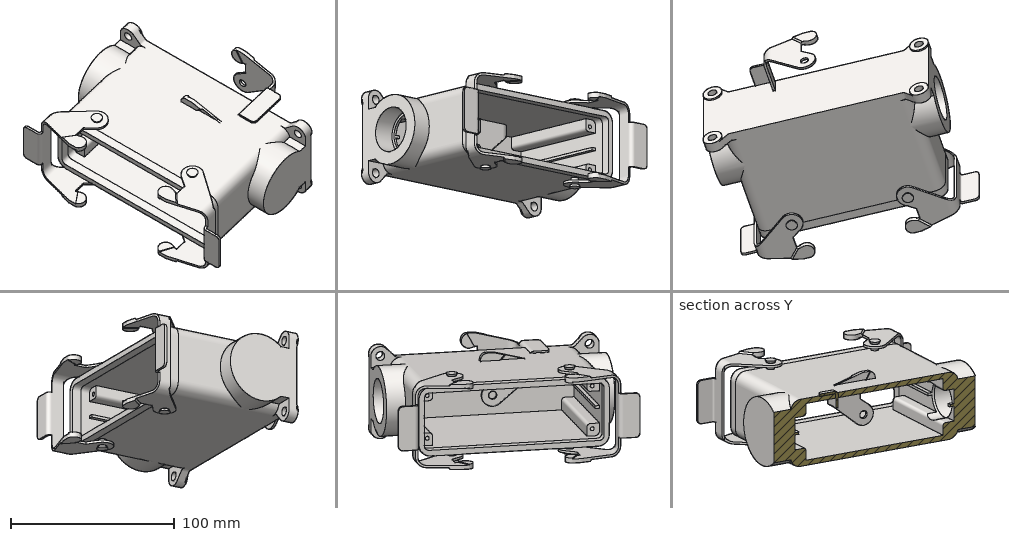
import cadquery as cq
import math


DIAGONAL = math.sqrt(0.5)

shell_half_x = 59.7
shell_half_z = 21.7
shell_depth = 83.0
side_wall = 3.3
top_wall = 3.6
back_wall = 3.6
outer_corner_radius = 7.1
inner_corner_radius = 3.0
collar_depth = 5.8

post_size = 7.9
post_corner_radius = 2.1
post_front_y = 12.0
post_hole_diameter = 2.5
post_hole_depth = 9.1
post_hole_offset = 4.5
rib_height = 1.7
rib_reach = 2.7

boss_face_x = 71.7
boss_diameter = 2 * shell_half_z
boss_y = 57.3
boss_web_half_z = 16.2
entry_diameter = 27.6
entry_depth = 13.6
passage_diameter = 24.0

overall_height = 58.0
lug_diameter = 12.0
lug_hole_diameter = 5.5
lug_front_y = 77.5
lug_foot_radius = 2.5
lug_pad = 1.0

overall_length = 151.6
sheet = 1.5
lever_half_width = 25.8
pivot_hole_diameter = 5.0
eye_radius = 7.0
bar_u = 27.5
bar_top_v = 12.1
bar_bottom_v = 19.9
bar_shoulder = 1.7
bend_radius = 6.4
notch_u = 2.3
notch_top_v = 10.5
notch_bottom_v = 18.5
notch_floor = 1.7
nose_radius = 4.7
nose_u = -3.3
nose_v = 22.3
nose_start_v = 15.9
nose_flat_start_u = -4.5
nose_flat_end_u = 0.8
outer_pad = 1.0
outer_pad_angle = 49.0
inner_pad = 0.6
inner_pad_u = 0.3
inner_pad_angle = 120.0
pad_bevel = 0.9
grip_half_width = 14.0
grip_v = 23.2
grip_bend_radius = 2.6
grip_corner_radius = 2.7

pivot_x = 37.0
pivot_y = 9.5
loose_pivot_y = 82.6
loose_pivot_z = -0.5

pin_diameter = 4.9
pin_head_diameter = 7.0
pin_neck_diameter = 5.5
pin_top_z = 27.5

cavity_half_x = shell_half_x - side_wall
cavity_half_z = shell_half_z - top_wall
cavity_back_y = shell_depth - back_wall
lug_radius = lug_diameter / 2
lug_x = boss_face_x - lug_radius
lug_z = overall_height / 2 - lug_radius
grip_tip_u = overall_length / 2 - pivot_x


def box(x0, x1, y0, y1, z0, z1):
    """Box between two opposite corners."""
    return cq.Workplane("XY").box(x1 - x0, y1 - y0, z1 - z0, centered=False).translate((x0, y0, z0))


def along_y(y0):
    """Workplane at Y = y0 whose local axes are X and Z; extrude a negative length to go toward +Y."""
    return cq.Workplane("XZ", origin=(0, y0, 0))


def rounded_block(half_x, half_z, radius, y0, y1):
    """Block running along Y with rounded long edges."""
    block = box(-half_x, half_x, y0, y1, -half_z, half_z)
    return block.edges("|Y").fillet(radius)


def tangent_point(point, centre, radius, side):
    """Point where a line from an outside point touches a circle; side is +1 or -1."""
    du = point[0] - centre[0]
    dv = point[1] - centre[1]
    angle = math.atan2(dv, du) + side * math.acos(radius / math.hypot(du, dv))
    return (centre[0] + radius * math.cos(angle), centre[1] + radius * math.sin(angle))


def shell_and_bosses():
    body = rounded_block(shell_half_x, shell_half_z, outer_corner_radius, collar_depth, shell_depth)
    for side in (-1, 1):
        boss = (
            cq.Workplane("YZ", origin=(side * boss_face_x, boss_y, 0))
            .circle(boss_diameter / 2)
            .extrude(-side * (boss_face_x - shell_half_x + outer_corner_radius))
        )
        x0, x1 = sorted((side * boss_face_x, side * cavity_half_x))
        web = box(x0, x1, boss_y, shell_depth, -boss_web_half_z, boss_web_half_z)
        body = body.union(boss).union(web)
    return body


def lug(side_x, side_z):
    """Mounting ear: round pad, straight outer edge, 45 degree inner edge with a filleted foot."""
    diagonal = lug_radius * DIAGONAL
    foot_x = lug_x - diagonal - (lug_z + diagonal - shell_half_z)
    foot_setback = lug_foot_radius * math.tan(math.radians(45 / 2))
    foot_slope_end = (foot_x + foot_setback * DIAGONAL, shell_half_z + foot_setback * DIAGONAL)
    ear = (
        along_y(lug_front_y)
        .moveTo(boss_face_x, boss_web_half_z)
        .lineTo(boss_face_x, lug_z)
        .threePointArc((lug_x, lug_z + lug_radius), (lug_x - diagonal, lug_z + diagonal))
        .lineTo(*foot_slope_end)
        .radiusArc((foot_x - foot_setback, shell_half_z), lug_foot_radius)
        .lineTo(shell_half_x - outer_corner_radius, shell_half_z)
        .lineTo(shell_half_x - outer_corner_radius, boss_web_half_z)
        .close()
        .extrude(-(shell_depth - lug_front_y))
    )
    pad = (
        along_y(lug_front_y)
        .center(lug_x, lug_z)
        .circle(lug_radius)
        .extrude(-(shell_depth + lug_pad - lug_front_y))
    )
    hole = (
        along_y(0)
        .center(lug_x, lug_z)
        .circle(lug_hole_diameter / 2)
        .extrude(-2 * shell_depth)
    )
    ear = ear.union(pad).cut(hole)
    if side_x < 0:
        ear = ear.mirror("YZ")
    if side_z < 0:
        ear = ear.mirror("XY")
    return ear


def cavity(y0, y1):
    return rounded_block(cavity_half_x, cavity_half_z, inner_corner_radius, y0, y1)


def corner_post():
    """Screw post in the +X +Z corner of the cavity, with a blind hole in its front end."""
    post = box(
        cavity_half_x - post_size, cavity_half_x, post_front_y, cavity_back_y,
        cavity_half_z - post_size, cavity_half_z,
    )
    post = post.edges("|Y and <X and <Z").fillet(post_corner_radius)
    hole = (
        along_y(post_front_y)
        .center(cavity_half_x - post_hole_offset, cavity_half_z - post_hole_offset)
        .circle(post_hole_diameter / 2)
        .extrude(-post_hole_depth)
    )
    return post.cut(hole).intersect(cavity(0, cavity_back_y))


def cavity_details():
    """Four corner posts and one flat rib on each end wall."""
    post = corner_post()
    rib = box(
        cavity_half_x - rib_reach, cavity_half_x, post_front_y, cavity_back_y,
        -rib_height / 2, rib_height / 2,
    )
    right_half = post.union(post.mirror("XY")).union(rib)
    return right_half, right_half.mirror("YZ")


def cable_entry():
    """Stepped bore through the -X boss and end wall."""
    start = cq.Workplane("YZ", origin=(-boss_face_x, boss_y, 0))
    bore = start.circle(entry_diameter / 2).extrude(entry_depth)
    passage = start.circle(passage_diameter / 2).extrude(boss_face_x - cavity_half_x + post_size)
    return bore.union(passage)


def pivot_pin():
    """Pin at the +X, +Z pivot; its head sits on the lever and widens toward the top."""
    start = cq.Workplane("XY", origin=(pivot_x, pivot_y, cavity_half_z))
    shank = start.circle(pin_diameter / 2).extrude(lever_half_width - cavity_half_z)
    head = (
        start.workplane(offset=lever_half_width - cavity_half_z)
        .circle(pin_neck_diameter / 2)
        .workplane(offset=pin_top_z - lever_half_width)
        .circle(pin_head_diameter / 2)
        .loft()
    )
    return shank.union(head)


def make_housing(loose_lever):
    body = shell_and_bosses()
    for side_x in (-1, 1):
        for side_z in (-1, 1):
            body = body.union(lug(side_x, side_z))
    body = body.cut(cavity(0, cavity_back_y))
    for details in cavity_details():
        body = body.union(details)
    body = body.cut(cable_entry())
    pin = pivot_pin()
    pins = pin.union(pin.mirror("YZ"))
    body = body.union(pins).union(pins.mirror("XY"))
    return body.cut(loose_lever)


def make_collar():
    """Open frame closing the front of the shell."""
    frame = rounded_block(shell_half_x, shell_half_z, outer_corner_radius, 0, collar_depth)
    return frame.cut(cavity(0, collar_depth))


def cheek_outline():
    """Side outline of both cheeks, from the bar round the hook nose and the pivot eye."""
    eye = (0, 0)
    nose = (nose_u, nose_v)
    shoulder = (bar_u - bar_shoulder, bar_top_v)
    eye_outer = tangent_point(shoulder, eye, eye_radius, -1)
    eye_inner = tangent_point((notch_u, notch_top_v), eye, eye_radius, 1)
    notch_end = (notch_u - notch_floor, notch_bottom_v)
    nose_inner = tangent_point(notch_end, nose, nose_radius, -1)
    eye_far = (-eye_radius * DIAGONAL, -eye_radius * DIAGONAL)
    return (
        cq.Workplane("XY")
        .moveTo(bar_u, bar_top_v)
        .lineTo(bar_u, bar_bottom_v)
        .lineTo(nose_flat_end_u, nose_v + nose_radius)
        .lineTo(nose_flat_start_u, nose_v + nose_radius)
        .threePointArc((nose_u - nose_radius, nose_v), nose_inner)
        .lineTo(*notch_end)
        .lineTo(notch_u, notch_bottom_v)
        .lineTo(notch_u, notch_top_v)
        .lineTo(*eye_inner)
        .threePointArc(eye_far, eye_outer)
        .lineTo(*shoulder)
        .close()
    )


def bent_strip():
    """Sheet bent into a U: two cheeks joined by the bar, cut to the cheek outline."""
    far = 2 * bar_u
    outer = box(-far, bar_u, -far, far, -lever_half_width, lever_half_width)
    outer = outer.edges("|Y and >X").fillet(bend_radius)
    inner = box(
        -far, bar_u - sheet, -far, far, -lever_half_width + sheet, lever_half_width - sheet,
    )
    inner = inner.edges("|Y and >X").fillet(bend_radius - sheet)
    blank = cheek_outline().extrude(2 * lever_half_width).translate((0, 0, -lever_half_width))
    hole = cq.Workplane("XY").circle(pivot_hole_diameter / 2).extrude(4 * lever_half_width, both=True)
    return outer.cut(inner).intersect(blank).cut(hole)


def nose_blank(thickness):
    """Hook end of the cheek outline, clear of the pivot eye."""
    far = 2 * bar_u
    hook_end = box(-far, far, nose_start_v, far, 0, thickness)
    return cheek_outline().extrude(thickness).intersect(hook_end)


def outer_nose_pad():
    """Thicker outside of the hook nose, ending in a bevel across the notch corner."""
    far = 2 * bar_u
    slab = (
        cq.Workplane("XZ")
        .polyline([(-far, 0), (0, 0), (-pad_bevel, outer_pad), (-far, outer_pad)])
        .close()
        .extrude(far, both=True)
        .rotate((0, 0, 0), (0, 0, 1), outer_pad_angle - 90)
        .translate((notch_u, notch_bottom_v, 0))
    )
    return nose_blank(outer_pad).intersect(slab)


def inner_nose_pad():
    """Thicker inside of the hook nose: the part of its round end beyond a slanted line."""
    far = 2 * bar_u
    slab = (
        box(-far, 0, -far, far, 0, inner_pad)
        .rotate((0, 0, 0), (0, 0, 1), inner_pad_angle - 90)
        .translate((inner_pad_u, notch_bottom_v, 0))
    )
    return nose_blank(inner_pad).intersect(slab)


def grip():
    """Finger tab bent outward from the bar, with rounded free corners."""
    inside_u = bar_u - sheet
    profile = (
        cq.Workplane("XY", origin=(0, 0, -grip_half_width))
        .moveTo(inside_u, bar_bottom_v - sheet)
        .lineTo(bar_u, bar_bottom_v - sheet)
        .lineTo(bar_u, grip_v - grip_bend_radius)
        .radiusArc((inside_u + grip_bend_radius, grip_v - sheet), grip_bend_radius - sheet)
        .lineTo(grip_tip_u, grip_v - sheet)
        .lineTo(grip_tip_u, grip_v)
        .lineTo(inside_u + grip_bend_radius, grip_v)
        .radiusArc((inside_u, grip_v - grip_bend_radius), -grip_bend_radius)
        .close()
    )
    tab = profile.extrude(2 * grip_half_width)
    return tab.edges("|Y and >X").fillet(grip_corner_radius)


def make_lever():
    upper_pads = outer_nose_pad().translate((0, 0, lever_half_width))
    upper_pads = upper_pads.union(inner_nose_pad().translate((0, 0, lever_half_width - sheet - inner_pad)))
    lever = bent_strip().union(grip())
    return lever.union(upper_pads).union(upper_pads.mirror("XY"))


lever = make_lever()
right_lever = lever.rotate((0, 0, 0), (1, 0, 0), 180).translate((pivot_x, pivot_y, 0))
left_lever = right_lever.mirror("YZ")
loose_lever = lever.rotate((0, 0, 0), (1, 0, 0), 90).translate((0, loose_pivot_y, loose_pivot_z))
housing = make_housing(loose_lever)
collar = make_collar()

result = cq.Compound.makeCompound(
    [housing.val(), collar.val(), left_lever.val(), right_lever.val(), loose_lever.val()]
)